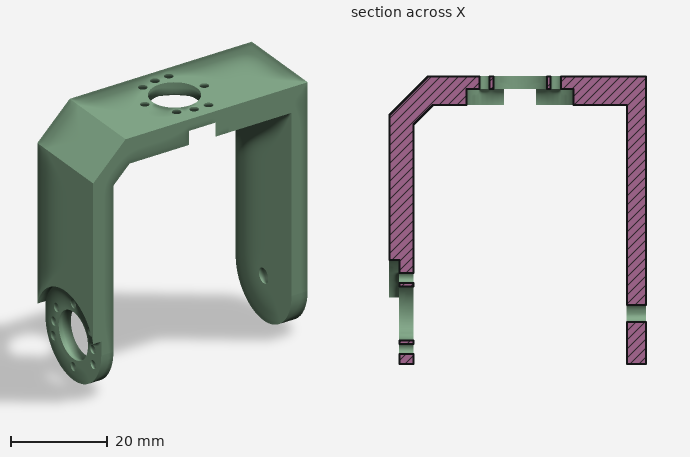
import cadquery as cq
import math

width = 21.0
depth = 53.0
height = 59.5
end_radius = width / 2
top_z = height - end_radius

horn_leg_thickness = 5.0
idler_leg_thickness = 4.0
top_thickness = 6.0
outer_chamfer = 8.0
inner_chamfer = 4.0

seat_diameter = 22.0
horn_leg_web = 3.0
top_web = 2.7

horn_hole_diameter = 11.0
idler_hole_diameter = 3.5
screw_diameter = 2.0
screw_radius = 7.35
outer_screw_radius = 8.25
inclined_angle = 30.0
outer_angle = 25.0

inner_front = horn_leg_thickness
inner_back = depth - idler_leg_thickness
inner_top = top_z - top_thickness
top_hole_y = (inner_front + inner_back) / 2


def polar(radius, degrees):
    angle = math.radians(degrees)
    return (radius * math.cos(angle), radius * math.sin(angle))


def screw_points():
    """Eight screw places; the inclined pair is on the positive local Y side."""
    points = [polar(screw_radius, quarter * 90) for quarter in range(4)]
    for angle in (inclined_angle, 180 - inclined_angle):
        points.append(polar(screw_radius, angle))
    for angle in (-outer_angle, 180 + outer_angle):
        points.append(polar(outer_screw_radius, angle))
    return points


def make_frame():
    """U-shaped side profile with one bevelled corner, extruded across the width."""
    profile = [
        (0, -end_radius),
        (0, top_z - outer_chamfer),
        (outer_chamfer, top_z),
        (depth, top_z),
        (depth, -end_radius),
        (inner_back, -end_radius),
        (inner_back, inner_top),
        (inner_front + inner_chamfer, inner_top),
        (inner_front, inner_top - inner_chamfer),
        (inner_front, -end_radius),
    ]
    return cq.Workplane("YZ").polyline(profile).close().extrude(width / 2, both=True)


def make_rounded_envelope():
    """Front outline: straight sides and top, with a semicircular lower end."""
    return (
        cq.Workplane("XZ")
        .moveTo(-end_radius, top_z)
        .lineTo(-end_radius, 0)
        .threePointArc((0, -end_radius), (end_radius, 0))
        .lineTo(end_radius, top_z)
        .close()
        .extrude(-depth)
    )


def make_horn_cutter(plane, wall, web):
    """Seat disc, centre hole and screw holes; the plane lies on the closed face of the wall."""
    seat = cq.Workplane(plane).workplane(offset=web).circle(seat_diameter / 2).extrude(wall - web)
    centre_hole = cq.Workplane(plane).circle(horn_hole_diameter / 2).extrude(wall)
    screws = cq.Workplane(plane).pushPoints(screw_points()).circle(screw_diameter / 2).extrude(wall)
    return seat.union(centre_hole).union(screws)


def make_leg_horn_cutter():
    """Seat opens on the outer face of the front leg; holes pass through the web."""
    plane = cq.Plane(origin=(0, inner_front, 0), xDir=(1, 0, 0), normal=(0, -1, 0))
    return make_horn_cutter(plane, horn_leg_thickness, horn_leg_web)


def make_top_horn_cutter():
    """Seat opens on the underside of the top; inclined screws point toward the front leg."""
    plane = cq.Plane(origin=(0, top_hole_y, top_z), xDir=(1, 0, 0), normal=(0, 0, -1))
    return make_horn_cutter(plane, top_thickness, top_web)


def make_idler_hole():
    """Pivot hole through the back leg."""
    plane = cq.Plane(origin=(0, inner_back, 0), xDir=(1, 0, 0), normal=(0, 1, 0))
    return cq.Workplane(plane).circle(idler_hole_diameter / 2).extrude(idler_leg_thickness)


result = (
    make_frame()
    .intersect(make_rounded_envelope())
    .cut(make_leg_horn_cutter())
    .cut(make_top_horn_cutter())
    .cut(make_idler_hole())
)